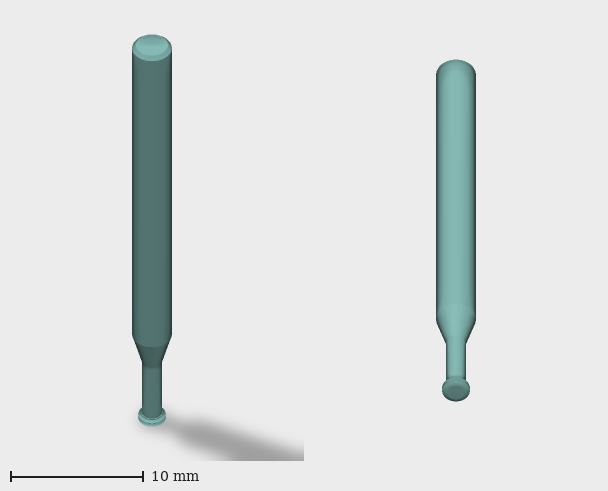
import cadquery as cq
import math

total_length = 38.0
shank_radius = 3.0 / 2
shank_bottom = 8.65
top_chamfer = 0.3

neck_radius = 1.52 / 2
neck_top = 5.78
cone_half_angle = math.radians(15.3)
blend_height = 0.23

root_radius = 1.67 / 2
crest_radius = 2.1 / 2
tip_radius = 1.35 / 2
tooth_count = 2
tooth_pitch = 0.35
first_crest = 0.2
last_crest = first_crest + (tooth_count - 1) * tooth_pitch
crest_to_head_top = 0.23
flank_height = 0.133
head_top = last_crest + crest_to_head_top


def blend_point(angle):
    """Point on the concave neck blend where its slope is `angle` from the axis."""
    blend_radius = blend_height / math.sin(cone_half_angle)
    radius = neck_radius + blend_radius * (1 - math.cos(angle))
    height = neck_top + blend_radius * math.sin(angle)
    return radius, height


def head_profile(profile):
    """Add the tip chamfer, flanks, crests and roots from the bottom face up to the head top."""
    profile = profile.lineTo(tip_radius, 0)
    for tooth in range(tooth_count):
        crest = first_crest + tooth * tooth_pitch
        profile = profile.lineTo(root_radius, crest - flank_height)
        profile = profile.lineTo(crest_radius, crest)
        profile = profile.lineTo(root_radius, crest + flank_height)
    return profile.lineTo(root_radius, head_top)


def body_profile(profile):
    """Add the neck, blended shoulder, shank and chamfered end."""
    return (
        profile.lineTo(neck_radius, head_top)
        .lineTo(neck_radius, neck_top)
        .threePointArc(blend_point(cone_half_angle / 2), blend_point(cone_half_angle))
        .lineTo(shank_radius, shank_bottom)
        .lineTo(shank_radius, total_length - top_chamfer)
        .lineTo(shank_radius - top_chamfer, total_length)
        .lineTo(0, total_length)
    )


half_section = body_profile(head_profile(cq.Workplane("XZ").moveTo(0, 0))).close()
result = half_section.revolve(360, (0, 0, 0), (0, 1, 0))